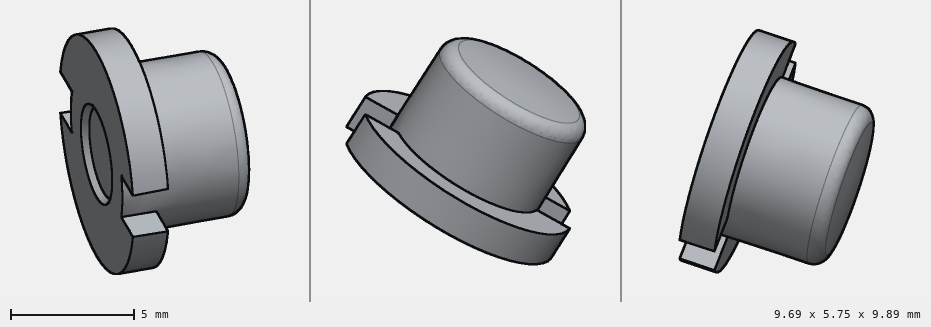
import cadquery as cq
import math

flange_radius = 4.945
flange_thickness = 1.5

total_depth = 5.75
body_base_radius = 3.44
body_end_radius = 3.4
body_end_depth = 5.52
shoulder_fillet = 0.61

slot_front_width = 2.0
slot_back_width = 2.06

recess_mouth_radius = 2.09
recess_floor_radius = 1.9
recess_depth = 0.3


def make_flange():
    return cq.Workplane("XZ").circle(flange_radius).extrude(-flange_thickness)


def make_slots():
    """A tapered bar across the flange, open at both sides of the rim."""
    half_front = slot_front_width / 2
    half_back = slot_back_width / 2
    return (
        cq.Workplane("YZ")
        .polyline([
            (0, -half_front),
            (flange_thickness, -half_back),
            (flange_thickness, half_back),
            (0, half_front),
        ])
        .close()
        .extrude(flange_radius, both=True)
    )


def make_body():
    """Tapered plug with a spherical end, revolved about the Y axis, then rounded at the shoulder."""
    dome_rise = total_depth - body_end_depth
    dome_radius = (body_end_radius**2 + dome_rise**2) / (2 * dome_rise)
    middle_radius = body_end_radius / 2
    middle_depth = total_depth - dome_radius + math.sqrt(dome_radius**2 - middle_radius**2)
    plug = (
        cq.Workplane("XY")
        .moveTo(0, 0)
        .lineTo(body_base_radius, 0)
        .lineTo(body_end_radius, body_end_depth)
        .threePointArc((middle_radius, middle_depth), (0, total_depth))
        .close()
        .revolve(360, (0, 0, 0), (0, 1, 0))
    )
    return plug.faces("%CONE").edges("%CIRCLE").edges(">Y").fillet(shoulder_fillet)


def make_recess():
    return (
        cq.Workplane("XY")
        .polyline([
            (0, 0),
            (recess_mouth_radius, 0),
            (recess_floor_radius, recess_depth),
            (0, recess_depth),
        ])
        .close()
        .revolve(360, (0, 0, 0), (0, 1, 0))
    )


result = make_flange().cut(make_slots()).union(make_body()).cut(make_recess())